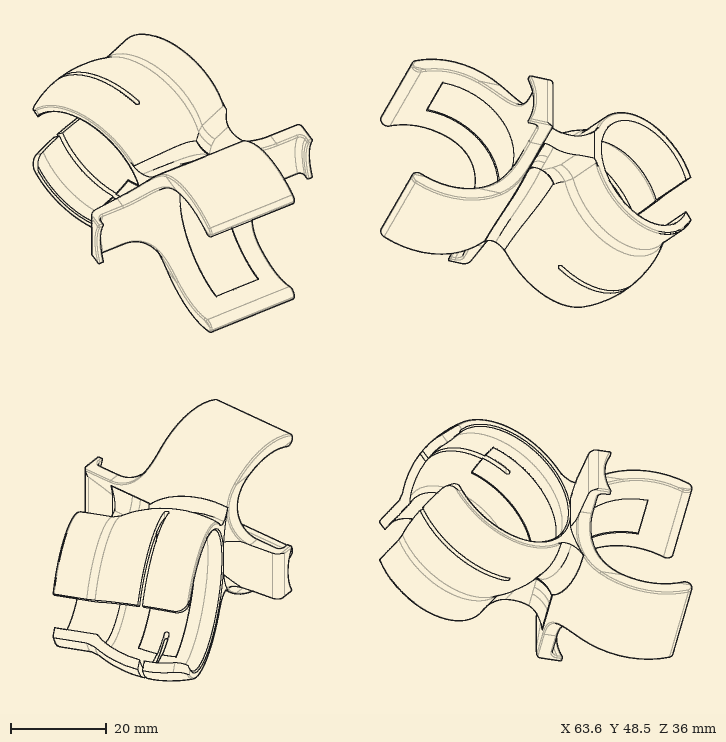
import cadquery as cq
import math

edge_round = 0.3
far = 127.3
spare = 0.65

ring_wall = 2.0
barrel_radius = 17.95
barrel_peak_y = -1.6
barrel_arc = 24.2
barrel_end_y = 10.3
neck_radius = 14.25
neck_start_y = 12.2
front_y = -9.85
back_y = 19.55
front_bore = 14.9
bore_barrel_start_y = -6.4
bore_barrel_end_y = 9.15
bore_neck_start_y = 10.3
mouth_apex_x = -7.3
mouth_corner = 2.85
slot_width = 1.0
slot_end_x = 6.5

clip_tilt = 22.7
clip_x = 35.9
clip_y = -5.6
clip_radius = 18.0
clip_bore = 15.1
clip_half_length = 10.0
clip_mouth = 8.85
jaw_round = 1.4

arm_half_width = 5.9
arm_reach = 25.45
arm_root_radius = 8.3
hook_thickness = 1.3
hook_bore = 12.85
hook_corner = 1.8
hook_inner_corner = 1.1
arm_face_end = arm_reach - hook_corner
back_arm_face = ((-17.95, 12.7), (-17.4, arm_face_end))
front_arm_face = ((-17.6, -10.8), (-16.1, -arm_face_end))

pad_depth = 0.3
ring_pad_span = (-3.55, 4.5)
clip_pad_span = (-4.2, 5.85)
clip_pad_edge = 0.65

blend = 4.0
blend_sink = 0.095
blend_root = 0.65
web_half = 2.5
web_start_y = 8.15
arched_stations = (front_y, -5.1, 0.0, 4.45, web_start_y)
flat_stations = (web_start_y, barrel_end_y, neck_start_y, back_y)
notch_radius = 8.3
notch_x = 21.4
notch_y = 23.75


def barrel_r(y, inset=0.0):
    """Radius of the bulging profile at y, moved inward by inset."""
    arc = barrel_arc - inset
    return barrel_radius - barrel_arc + math.sqrt(arc**2 - (y - barrel_peak_y) ** 2)


def ring_solid():
    """Solid of revolution under the outer surface of the ring, with rounded rims."""
    profile = (
        cq.Workplane("XY")
        .moveTo(0, front_y)
        .lineTo(barrel_r(front_y), front_y)
        .threePointArc((barrel_radius, barrel_peak_y), (barrel_r(barrel_end_y), barrel_end_y))
        .lineTo(neck_radius, neck_start_y)
        .lineTo(neck_radius, back_y)
        .lineTo(0, back_y)
        .close()
    )
    return profile.revolve(360, (0, 0, 0), (0, 1, 0)).edges(">Y or <Y").fillet(edge_round)


def ring_bore(inset):
    """Solid of revolution that hollows the ring, inset below its outer surface."""
    neck = neck_radius - inset
    peak = (barrel_radius - inset, barrel_peak_y)
    profile = (
        cq.Workplane("XY")
        .moveTo(0, front_y)
        .lineTo(front_bore + edge_round, front_y)
        .lineTo(front_bore, front_y + edge_round)
        .lineTo(barrel_r(bore_barrel_start_y, inset), bore_barrel_start_y)
        .threePointArc(peak, (barrel_r(bore_barrel_end_y, inset), bore_barrel_end_y))
        .lineTo(neck, bore_neck_start_y)
        .lineTo(neck, back_y)
        .lineTo(0, back_y)
        .close()
    )
    return profile.revolve(360, (0, 0, 0), (0, 1, 0))


def place(body):
    """Move a body from clip coordinates (mouth toward +X, axis Y) into the part."""
    return body.rotate((0, 0, 0), (0, 0, 1), -clip_tilt).translate((clip_x, clip_y, 0))


def cylinder_y(radius, half_length):
    """Cylinder along Y, centred on the origin."""
    return cq.Workplane("XZ").circle(radius).extrude(half_length, both=True)


def clip_outline():
    """Cross shaped prism along X: wide jaws in the middle, arms to both ends."""
    jaw_edge = arm_half_width + arm_root_radius
    root = clip_half_length + arm_root_radius
    high = clip_radius + spare
    diagonal = arm_root_radius * math.sqrt(0.5)
    prism = cq.Workplane("YZ").rect(2 * arm_reach, 2 * high).extrude(far, both=True)
    corner = (
        cq.Workplane("YZ")
        .moveTo(clip_half_length, high)
        .lineTo(clip_half_length, jaw_edge)
        .threePointArc((root - diagonal, jaw_edge - diagonal), (root, arm_half_width))
        .lineTo(arm_reach + spare, arm_half_width)
        .lineTo(arm_reach + spare, high)
        .close()
        .extrude(far, both=True)
    )
    corners = corner.union(corner.mirror("XZ"))
    return prism.cut(corners).cut(corners.mirror("XY"))


def arm_trim(face):
    """Material outside a flat arm face and its rounded end; face runs from root to tip."""
    (root_x, root_y), (tip_x, tip_y) = face
    deep = -clip_radius - spare
    side = math.copysign(1, tip_y)
    end = side * arm_reach
    return (
        cq.Workplane("XY")
        .moveTo(root_x, root_y)
        .lineTo(tip_x, tip_y)
        .tangentArcPoint((tip_x + hook_corner, end), relative=False)
        .lineTo(tip_x + hook_corner, end + side * spare)
        .lineTo(deep, end + side * spare)
        .lineTo(deep, root_y)
        .close()
        .extrude(far, both=True)
    )


def right_clip():
    """C section with both arms and hooks, in clip coordinates."""
    drum = cylinder_y(clip_radius, arm_reach)
    mouth = cq.Workplane("XY").box(far, far, far).translate((clip_mouth + far / 2, 0, 0))
    jaws = drum.cut(cylinder_y(clip_bore, arm_reach)).cut(mouth).edges("|Y").fillet(jaw_round)
    inside = cylinder_y(clip_bore, arm_reach - hook_thickness).edges().fillet(hook_inner_corner)
    back_half = cq.Workplane("XY").box(far, far, far).translate((-far / 2, 0, 0))
    hooks = drum.cut(inside).cut(cylinder_y(hook_bore, arm_reach)).intersect(back_half)
    clip = jaws.union(hooks).intersect(clip_outline())
    clip = clip.edges().fillet(edge_round)
    return clip.cut(arm_trim(back_arm_face)).cut(arm_trim(front_arm_face))


def ring_pad():
    """Shallow recess around the +X half of the ring bore."""
    start, end = ring_pad_span
    band = cq.Workplane("XY").box(far, end - start, far).translate((far / 2, (start + end) / 2, 0))
    return ring_bore(ring_wall - pad_depth).intersect(band)


def clip_pad():
    """Shallow recess around the back of the clip bore, in clip coordinates."""
    start, end = clip_pad_span
    center = (clip_pad_edge - far / 2, (start + end) / 2, 0)
    band = cq.Workplane("XY").box(far, end - start, far).translate(center)
    return cylinder_y(clip_bore + pad_depth, arm_reach).intersect(band)


def blend_section(y, flat):
    """Upper half outline of the blend at y, with a flat web or with one arc touching both clips."""
    ring_radius = neck_radius if y >= neck_start_y else barrel_r(y)
    ring_reach = ring_radius + blend - blend_sink
    clip_reach = clip_radius + blend - blend_sink
    tilt = math.radians(clip_tilt)
    axis_x = clip_x + (y - clip_y) * math.tan(tilt)
    squash = math.cos(tilt) ** 2
    if flat:
        z = web_half + blend
        ring_side = math.sqrt(ring_reach**2 - z**2)
        clip_side = axis_x - math.sqrt((clip_reach**2 - z**2) / squash)
    else:
        rest = squash * axis_x**2 + ring_reach**2 - clip_reach**2
        root = math.sqrt((squash * axis_x) ** 2 + (1 - squash) * rest)
        ring_side = (root - squash * axis_x) / (1 - squash)
        clip_side = ring_side
        z = math.sqrt(ring_reach**2 - ring_side**2)

    def from_center(center_x, way, distance):
        """Point at a distance from an arc centre, in direction way."""
        scale = distance / math.hypot(*way)
        return center_x + way[0] * scale, z + way[1] * scale

    def arc_middle(center_x, end):
        """Arc point halfway between end and the lowest point."""
        return from_center(center_x, (end[0] - center_x, end[1] - z - blend), blend)

    ring_way = (-ring_side, -z)
    ring_touch = from_center(ring_side, ring_way, blend)
    ring_root = from_center(ring_side, ring_way, blend + blend_root)
    clip_way = (squash * (axis_x - clip_side), -z)
    clip_touch = from_center(clip_side, clip_way, blend)
    clip_root = from_center(clip_side, clip_way, blend + blend_root)
    low_z = z - blend

    outline = cq.Workplane("XZ", origin=(0, y, 0)).moveTo(ring_root[0], 0).lineTo(*ring_root)
    outline = outline.lineTo(*ring_touch).threePointArc(arc_middle(ring_side, ring_touch), (ring_side, low_z))
    if flat:
        outline = outline.lineTo(clip_side, low_z)
    outline = outline.threePointArc(arc_middle(clip_side, clip_touch), clip_touch)
    return outline.lineTo(*clip_root).lineTo(clip_root[0], 0).close().val()


def blend_body():
    """Web and blend between the clips, above and below the middle plane."""
    arched = cq.Solid.makeLoft([blend_section(y, False) for y in arched_stations])
    flat = cq.Solid.makeLoft([blend_section(y, True) for y in flat_stations], True)
    upper = cq.Workplane("XY").add(arched).union(cq.Workplane("XY").add(flat))
    notch = cq.Workplane("XY").center(notch_x, notch_y).circle(notch_radius).extrude(far, both=True)
    body = upper.union(upper.mirror("XY")).cut(notch)
    return body.cut(place(cylinder_y(clip_bore, arm_reach)))


def mouth_wedge():
    """Wedge that opens the ring toward -X, flaring out round at the front corners."""
    run = far / 2
    points = [(mouth_apex_x, 0), (mouth_apex_x - run, run), (mouth_apex_x - run, -run)]
    wedge = cq.Workplane("XZ").polyline(points).close().extrude(run, both=True)
    jaw_face = cq.Plane(origin=(mouth_apex_x, 0, 0), xDir=(0, 1, 0), normal=(-1, 0, 1))
    bulge = mouth_corner * (1 - math.sqrt(0.5))
    corner = (
        cq.Workplane(jaw_face)
        .moveTo(front_y + mouth_corner, 0)
        .threePointArc((front_y + bulge, -bulge), (front_y, -mouth_corner))
        .lineTo(front_y - spare, -mouth_corner)
        .lineTo(front_y - spare, spare)
        .lineTo(front_y + mouth_corner, spare)
        .close()
        .extrude(run)
    )
    return wedge.union(corner).union(corner.mirror("XY"))


def slot():
    """Narrow slit across the ring from the mouth side, with a round end."""
    end = slot_end_x - slot_width / 2
    cutter = cq.Workplane("XY").box(far, slot_width, far).translate((end - far / 2, 0, 0))
    return cutter.union(cq.Workplane("XY").center(end, 0).circle(slot_width / 2).extrude(far, both=True))


solid_body = ring_solid().union(blend_body()).union(place(right_clip()))
hollow_body = solid_body.cut(ring_bore(ring_wall)).cut(ring_pad()).cut(place(clip_pad()))
result = hollow_body.cut(mouth_wedge()).cut(slot())